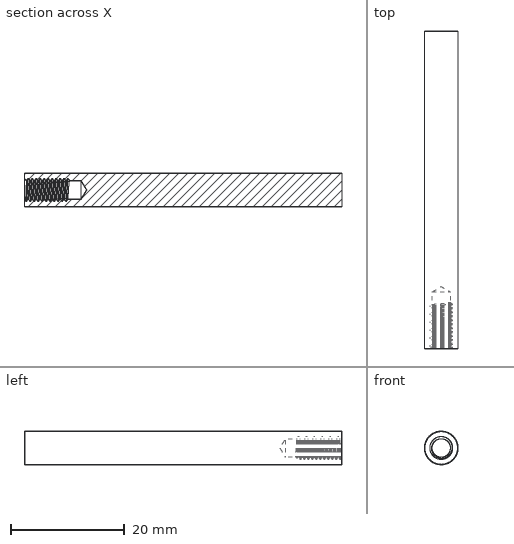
import cadquery as cq
import math

rod_diameter = 5.95
rod_length = 56.0
edge_chamfer = 0.1

thread_pitch = 0.7
thread_major_diameter = 4.0
thread_minor_diameter = 3.24
thread_angle = 60.0
thread_depth = 8.0
drill_depth = 10.0
drill_point_angle = 118.0
countersink_diameter = 4.04
countersink_angle = 90.0

groove_overlap = 0.05

front_face = -rod_length / 2
major_radius = thread_major_diameter / 2
minor_radius = thread_minor_diameter / 2


def half_angle_tangent(included_angle):
    return math.tan(math.radians(included_angle / 2))


def make_rod():
    """Plain cylinder with a small chamfer around both ends."""
    rod = cq.Workplane("XZ", origin=(0, -front_face, 0)).circle(rod_diameter / 2).extrude(rod_length)
    return rod.edges().chamfer(edge_chamfer)


def make_drilled_hole():
    """Cylinder with a conical drill point, revolved about the rod axis."""
    point_depth = drill_depth + minor_radius / half_angle_tangent(drill_point_angle)
    return (
        cq.Workplane("XY", origin=(0, front_face, 0))
        .lineTo(minor_radius, 0)
        .lineTo(minor_radius, drill_depth)
        .lineTo(0, point_depth)
        .close()
        .revolve(360, (0, 0, 0), (0, 1, 0))
    )


def make_countersink():
    """Full cone at the hole mouth, just wider than the thread at the end face."""
    countersink_radius = countersink_diameter / 2
    cone_depth = countersink_radius / half_angle_tangent(countersink_angle)
    return (
        cq.Workplane("XY", origin=(0, front_face, 0))
        .lineTo(countersink_radius, 0)
        .lineTo(0, cone_depth)
        .close()
        .revolve(360, (0, 0, 0), (0, 1, 0))
    )


def make_thread_groove():
    """Helical groove with 60 degree flanks and a flat root, started one pitch outside the end face."""
    start = front_face - thread_pitch
    inner_radius = minor_radius - groove_overlap
    root_half_width = thread_pitch / 16
    mouth_half_width = root_half_width + (major_radius - inner_radius) * half_angle_tangent(thread_angle)
    axis = cq.Vector(0, 1, 0)
    helix = cq.Wire.makeHelix(
        thread_pitch,
        thread_depth + thread_pitch,
        inner_radius,
        center=cq.Vector(0, start, 0),
        dir=axis,
    )
    helix_start = helix.startPoint()
    outward = cq.Vector(helix_start.x, 0, helix_start.z).normalized()
    profile_plane = cq.Plane(origin=(0, start, 0), xDir=outward, normal=outward.cross(axis))
    profile = (
        cq.Workplane(profile_plane)
        .moveTo(inner_radius, -mouth_half_width)
        .lineTo(major_radius, -root_half_width)
        .lineTo(major_radius, root_half_width)
        .lineTo(inner_radius, mouth_half_width)
        .close()
    )
    return profile.sweep(cq.Workplane(helix), isFrenet=True)


result = make_rod().cut(make_drilled_hole()).cut(make_thread_groove()).cut(make_countersink())